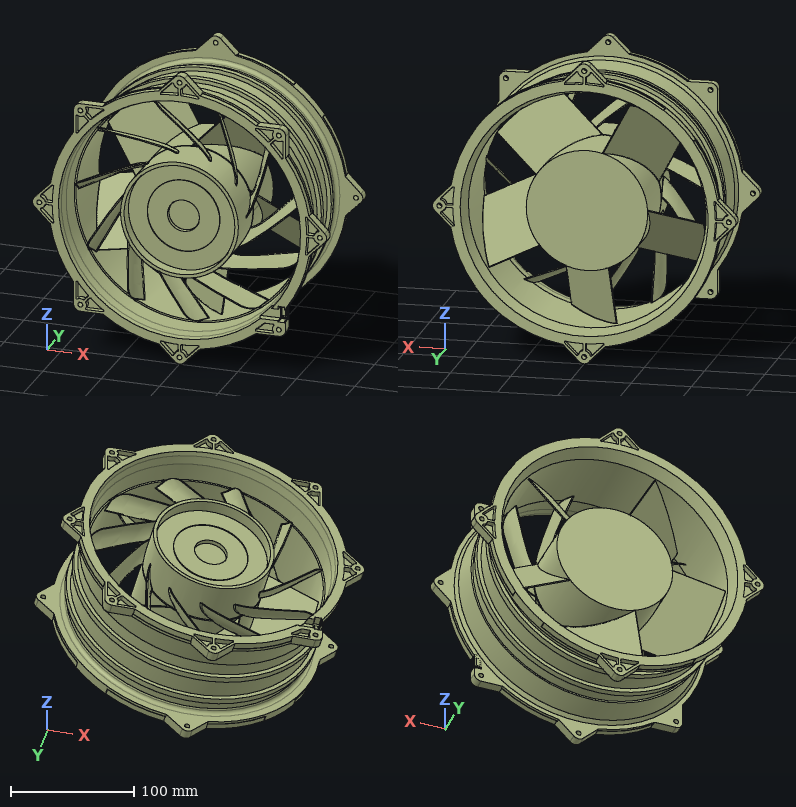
import cadquery as cq
import math


lug_tip_radius = 126.0
half_depth = 50.02

barrel_radius = 102.0
cone_small_radius = 103.5
cone_large_radius = 106.0
front_flare_radius = 108.4
rear_flare_radius = 106.3
rear_lip_radius = 102.8
cone_start_y = -16.1
cone_end_y = -37.5
rear_lip_start_y = 36.8
rear_flare_start_y = 38.3
mouth_radius = 103.5
bore_cone_radius = 102.5
bore_cone_end_y = -45.9
bore_throat_radius = 101.3
bore_step_radius = 100.0
bore_step_y = -20.7
bore_radius = 98.5
wall = barrel_radius - bore_radius
band_radius = 105.5
band_width = 5.3
band_ys = (-0.5, 24.7)

flange_thickness = 8.5
flange_radius = 112.5
rim_step = 0.3
rim_lip_thickness = 2.8
flange_inner_y = half_depth - flange_thickness

lug_count = 8
lug_round = 5.92
hole_circle_radius = lug_tip_radius - lug_round
hole_radius = 2.0
lug_reach = hole_circle_radius + lug_round * math.sqrt(2)
lug_root = 108.4
pocket_depth = 4.8
pocket_wall = 2.3
pocket_inner_radius = 108.9
pocket_boss_radius = 5.3
pocket_rib = 2.15
pocket_corner = 0.8

notch_lug = 5
notch_depth = 6.5
notch_low_z = -77.0
notch_high_z = -67.0
notch_inner_x = 63.0
notch_pocket_top_z = -80.6
clip_x = (84.5, 89.7)
clip_z = (-78.0, -64.5)
clip_depth = 1.0
slit_width = 1.3
tongue_x = (85.5, 88.7)
tongue_z = (-75.0, -67.8)

hub_radius = 50.5
hub_rear_y = -13.0
recess_radius = 47.5
recess_depth = 10.8
plate_radius = 31.0
plate_height = 0.8
centre_hole_radius = 13.5
centre_hole_depth = 3.8

vane_count = 11
vane_front_y = -30.2
vane_rear_y = -13.5
vane_thickness = 1.0
vane_sections = 5
vane_stations = (
    (48.0, 129.0, 16.5),
    (50.5, 132.7, 14.5),
    (62.2, 150.1, 8.5),
    (74.3, 161.2, 6.9),
    (88.2, 169.4, 6.2),
    (100.5, 174.6, 5.2),
)
vane_corner_radius = 89.5
vane_corner_middle = (95.5, -26.7)
vane_tip_y = -21.0

blade_count = 5
blade_tip_radius = 96.8
blade_front_y = -11.8
blade_rear_y = 38.5
blade_leading_offset = 36.3
blade_trailing_offset = -11.3
blade_direction = 262.0
blade_thickness = 1.0
rotor_front_y = -11.8
rotor_rear_y = 39.0


def plane_at(y):
    """Workplane square to the fan axis; a negative extrusion runs toward +Y."""
    return cq.Workplane("XZ", origin=(0, y, 0))


def disc(radius, y_start, y_end):
    return plane_at(y_start).circle(radius).extrude(y_start - y_end)


def revolved(sketch):
    """Turn a closed (radius, y) outline about the fan axis."""
    return sketch.close().revolve(360, (0, 0, 0), (0, 1, 0))


def turned(body, angle):
    """Rotate about the fan axis, counterclockwise as seen from the inlet."""
    return body.rotate((0, 0, 0), (0, 1, 0), -angle)


def barrel_outside():
    return revolved(
        cq.Workplane("XY")
        .moveTo(0, -half_depth)
        .lineTo(front_flare_radius, -half_depth)
        .lineTo(front_flare_radius, -flange_inner_y)
        .lineTo(cone_large_radius, cone_end_y)
        .lineTo(cone_small_radius, cone_start_y)
        .lineTo(barrel_radius, cone_start_y)
        .lineTo(barrel_radius, rear_lip_start_y)
        .lineTo(rear_lip_radius, rear_flare_start_y)
        .radiusArc((rear_flare_radius, flange_inner_y), rear_flare_radius - rear_lip_radius)
        .lineTo(rear_flare_radius, half_depth)
        .lineTo(0, half_depth)
    )


def barrel_bore():
    return revolved(
        cq.Workplane("XY")
        .moveTo(0, -half_depth)
        .lineTo(mouth_radius, -half_depth)
        .lineTo(bore_cone_radius, bore_cone_end_y)
        .lineTo(bore_throat_radius, cone_end_y)
        .lineTo(bore_step_radius, bore_step_y)
        .lineTo(bore_radius, bore_step_y)
        .lineTo(bore_radius, rear_flare_start_y)
        .lineTo(rear_flare_radius - wall, half_depth)
        .lineTo(0, half_depth)
    )


def bands():
    body = cq.Workplane()
    for y in band_ys:
        body = body.add(disc(band_radius, y - band_width / 2, y + band_width / 2))
    return body.combine()


def flange(outer_y):
    """Stepped ring whose inner lip is the wider part."""
    side = math.copysign(1, outer_y)
    inner_y = outer_y - side * flange_thickness
    rim = disc(flange_radius - rim_step, inner_y, outer_y)
    return rim.union(disc(flange_radius, inner_y, inner_y + side * rim_lip_thickness))


def lug(outer_y):
    """Right-angled lug pointing to +Z with a rounded tip about its screw hole."""
    side = math.copysign(1, outer_y)
    tangent = lug_round / math.sqrt(2)
    return (
        plane_at(outer_y)
        .moveTo(lug_root - lug_reach, lug_root)
        .lineTo(-tangent, hole_circle_radius + tangent)
        .threePointArc((0, lug_tip_radius), (tangent, hole_circle_radius + tangent))
        .lineTo(lug_reach - lug_root, lug_root)
        .close()
        .extrude(side * flange_thickness)
    )


def lug_recess(outer_y):
    """Recess inside the lug's outline, around its screw boss."""
    side = math.copysign(1, outer_y)
    depth = side * pocket_depth
    reach = lug_reach - pocket_wall * math.sqrt(2)
    base = pocket_inner_radius - 5
    return (
        plane_at(outer_y)
        .polyline([(base - reach, base), (0, reach), (reach - base, base)])
        .close()
        .extrude(depth)
        .cut(disc(pocket_inner_radius, outer_y, outer_y - depth))
        .cut(plane_at(outer_y).center(0, hole_circle_radius).circle(pocket_boss_radius).extrude(depth))
    )


def lug_pockets(outer_y):
    """The recess split in two by a rib along the middle of the lug."""
    rib = plane_at(outer_y).center(0, hole_circle_radius).rect(pocket_rib, lug_tip_radius)
    pockets = lug_recess(outer_y).cut(rib.extrude(math.copysign(pocket_depth, outer_y)))
    return pockets.edges("|Y").fillet(pocket_corner)


def screw_hole(outer_y):
    side = math.copysign(1, outer_y)
    return plane_at(outer_y).center(0, hole_circle_radius).circle(hole_radius).extrude(side * flange_thickness)


def block(x_range, y_range, z_range):
    (x0, x1), (y0, y1), (z0, z1) = x_range, y_range, z_range
    return cq.Workplane().box(x1 - x0, y1 - y0, z1 - z0, centered=False).translate((x0, y0, z0))


def cable_notch():
    """Channel across the front flange with a recess around a tongue and a slit along its lower edge."""
    floor_y = -half_depth + notch_depth
    low_z, high_z = clip_z
    channel = block((notch_inner_x, lug_tip_radius), (-half_depth, floor_y), (notch_low_z, notch_high_z))
    recess = block(clip_x, (-half_depth, floor_y + clip_depth), clip_z)
    recess = recess.cut(block(tongue_x, (floor_y, floor_y + clip_depth), tongue_z))
    slit = block(clip_x, (-half_depth, -flange_inner_y), (low_z, low_z + slit_width))
    return channel.union(recess).union(slit)


def notched_lug_pocket():
    """The one pocket of the notched lug, kept below the notch and inboard of the screw boss."""
    hole_x = hole_circle_radius / math.sqrt(2)
    kept = block((0, hole_x), (-half_depth, 0), (-lug_tip_radius, notch_pocket_top_z))
    pocket = turned(lug_recess(-half_depth), notch_lug * 360 / lug_count).intersect(kept)
    return pocket.edges("|Y").fillet(pocket_corner)


def stator_hub():
    floor_y = -half_depth + recess_depth
    plate_y = floor_y - plate_height
    return (
        disc(hub_radius, -half_depth, hub_rear_y)
        .cut(disc(recess_radius, -half_depth, floor_y))
        .union(disc(plate_radius, plate_y, floor_y))
        .cut(disc(centre_hole_radius, plate_y, plate_y + centre_hole_depth))
    )


def vane_section(fraction):
    """Closed thin strip through one vane, from the front edge (0) to the rear edge (1)."""
    y = vane_front_y + fraction * (vane_rear_y - vane_front_y)
    face = []
    back = []
    for radius, angle, lag in vane_stations:
        theta = math.radians(angle + lag * fraction**2)
        half = vane_thickness / 2
        x, z = radius * math.cos(theta), radius * math.sin(theta)
        slant = theta + math.radians(45)
        face.append(cq.Vector(x + half * math.sin(slant), y, z - half * math.cos(slant)))
        back.append(cq.Vector(x - half * math.sin(slant), y, z + half * math.cos(slant)))
    return cq.Wire.assembleEdges(
        [
            cq.Edge.makeSpline(face),
            cq.Edge.makeLine(face[-1], back[-1]),
            cq.Edge.makeSpline(back[::-1]),
            cq.Edge.makeLine(back[0], face[0]),
        ]
    )


def guide_vane():
    wires = [vane_section(i / (vane_sections - 1)) for i in range(vane_sections)]
    vane = cq.Workplane(cq.Solid.makeLoft(wires))
    inside = bore_radius + wall / 2
    envelope = revolved(
        cq.Workplane("XY")
        .moveTo(hub_radius - 1.3, vane_front_y)
        .lineTo(vane_corner_radius, vane_front_y)
        .threePointArc(vane_corner_middle, (bore_radius, vane_tip_y))
        .lineTo(inside, vane_tip_y)
        .lineTo(inside, vane_rear_y)
        .lineTo(hub_radius - 1.3, vane_rear_y)
    )
    return vane.intersect(envelope)


def make_housing():
    angles = [i * 360 / lug_count for i in range(lug_count)]
    rear_clip = disc(flange_radius, flange_inner_y, half_depth)
    lugs = []
    openings = []
    for i, angle in enumerate(angles):
        rear_lug = turned(lug(half_depth), angle)
        if i % 2:
            rear_lug = rear_lug.intersect(rear_clip)
        lugs += [turned(lug(-half_depth), angle).val(), rear_lug.val()]
        openings += turned(screw_hole(-half_depth), angle).vals()
        if i == notch_lug:
            openings += notched_lug_pocket().vals()
        else:
            openings += turned(lug_pockets(-half_depth), angle).vals()
        if i % 2 == 0:
            openings += turned(screw_hole(half_depth), angle).vals()
            openings += turned(lug_pockets(half_depth), angle).vals()
    shell = barrel_outside().union(bands()).union(flange(-half_depth)).union(flange(half_depth)).val()
    shell = shell.fuse(*lugs).cut(*openings, barrel_bore().val(), cable_notch().val()).clean()
    vane = guide_vane()
    vanes = [turned(vane, i * 360 / vane_count).val() for i in range(vane_count)]
    return cq.Workplane(shell.fuse(stator_hub().val(), *vanes)).combine(clean=False).solids()


def blade():
    """Flat pitched blade reaching along +X, trimmed to the tip radius."""
    chord = math.hypot(blade_leading_offset - blade_trailing_offset, blade_rear_y - blade_front_y)
    pitch = math.degrees(math.atan2(blade_rear_y - blade_front_y, blade_leading_offset - blade_trailing_offset))
    middle = (blade_leading_offset + blade_trailing_offset) / 2
    sheet = (
        cq.Workplane()
        .box(blade_tip_radius, blade_thickness, chord, centered=(False, True, True))
        .rotate((0, 0, 0), (1, 0, 0), pitch)
        .translate((0, (blade_front_y + blade_rear_y) / 2, middle))
    )
    return sheet.intersect(disc(blade_tip_radius, blade_front_y - 2.5, blade_rear_y + 2.5))


def make_impeller():
    body = disc(hub_radius, rotor_front_y, rotor_rear_y)
    for i in range(blade_count):
        body = body.union(turned(blade(), blade_direction + i * 360 / blade_count))
    return body


housing = make_housing()
impeller = make_impeller()
result = cq.Compound.makeCompound([housing.val(), impeller.val()])